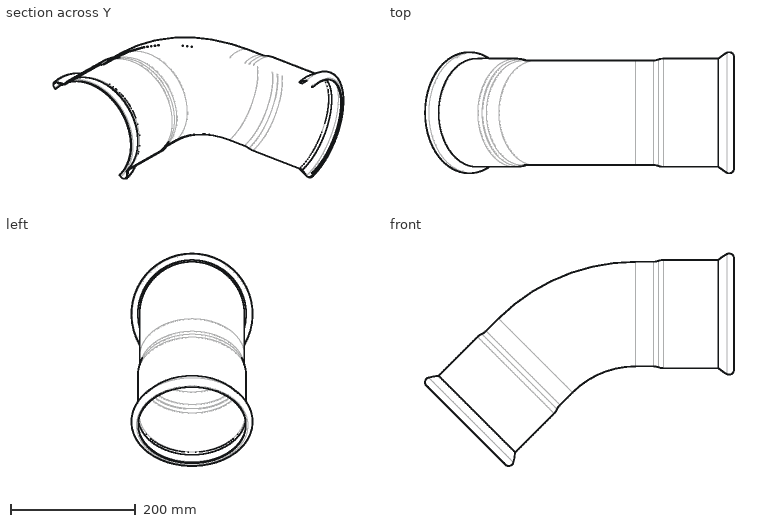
import cadquery as cq
import math

bend_angle = 45
bend_radius = 226.5
wall = 2.0

pipe_radius = 168.0 / 2
socket_radius = 174.0 / 2
mouth_radius = 173.0 / 2
bead_outer_radius = 195.0 / 2
bead_arc_radius = 8.0
flank_bulge = 0.5
bead_centre_radius = bead_outer_radius - bead_arc_radius

bead_arc_end = 12.0
groove_edge = 19.5
bead_root = 25.5
socket_end = 113.5
pipe_start = 130.0
bend_start = 158.0
taper_middle = (socket_end + pipe_start) / 2


def bead_height(arc_radius):
    """Radius from the pipe axis where the bead arc meets its flank."""
    offset = bead_arc_end - bead_arc_radius
    return bead_centre_radius + math.sqrt(arc_radius**2 - offset**2)


def make_end():
    """Straight end: pipe, S-shaped taper, socket and hollow bead, opening toward +X."""
    pipe_bore = pipe_radius - wall
    socket_bore = socket_radius - wall
    groove_arc_radius = bead_arc_radius - wall
    diagonal = math.sqrt(0.5)
    outer_middle = (pipe_radius + socket_radius) / 2
    flank_middle = (
        -(bead_root + bead_arc_end) / 2,
        (socket_radius + bead_height(bead_arc_radius)) / 2 + flank_bulge,
    )
    profile = (
        cq.Workplane("XZ")
        .moveTo(-bend_start, pipe_radius)
        .lineTo(-pipe_start, pipe_radius)
        .tangentArcPoint((-taper_middle, outer_middle), relative=False)
        .tangentArcPoint((-socket_end, socket_radius), relative=False)
        .lineTo(-bead_root, socket_radius)
        .threePointArc(flank_middle, (-bead_arc_end, bead_height(bead_arc_radius)))
        .threePointArc(
            (-bead_arc_radius * (1 - diagonal), bead_centre_radius + bead_arc_radius * diagonal),
            (0, bead_centre_radius),
        )
        .lineTo(0, mouth_radius)
        .lineTo(-wall, mouth_radius)
        .lineTo(-wall, bead_centre_radius)
        .threePointArc(
            (groove_arc_radius * diagonal - bead_arc_radius, bead_centre_radius + groove_arc_radius * diagonal),
            (-bead_arc_end, bead_height(groove_arc_radius)),
        )
        .lineTo(-groove_edge, mouth_radius)
        .lineTo(-bead_root, socket_bore)
        .lineTo(-socket_end, socket_bore)
        .tangentArcPoint((-taper_middle, outer_middle - wall), relative=False)
        .tangentArcPoint((-pipe_start, pipe_bore), relative=False)
        .lineTo(-bend_start, pipe_bore)
        .close()
    )
    return profile.revolve(360, (0, 0), (1, 0)).translate((bend_start, 0, 0))


def make_bend():
    """Curved pipe from the plane X = 0, turning down toward -X about the bend centre."""
    return (
        cq.Workplane("YZ")
        .circle(pipe_radius)
        .circle(pipe_radius - wall)
        .revolve(bend_angle, (0, -bend_radius), (-1, -bend_radius))
    )


right_end = make_end()
left_end = (
    right_end.mirror("YZ")
    .rotate((0, 0, -bend_radius), (0, 1, -bend_radius), -bend_angle)
)
result = make_bend().union(right_end).union(left_end)